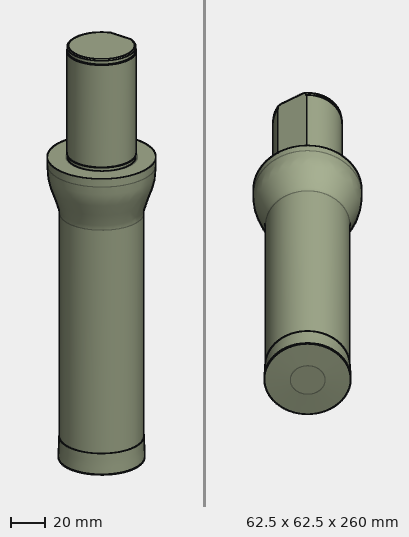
import cadquery as cq

TOTAL_LENGTH = 260.0
SHANK_LENGTH = 70.0

HEAD_DIAMETER = 50.0
HEAD_TOP_Z = 14.0
HEAD_TOP_DIAMETER = 48.9
POINT_HEIGHT = 0.6
EDGE_CHAMFER_HEIGHT = 0.6
EDGE_CHAMFER_WIDTH = 0.3
POINT_FLAT_DIAMETER = 20.0

BODY_DIAMETER = 48.6
COLLAR_DIAMETER = 62.5
COLLAR_RIM_HEIGHT = 5.0
COLLAR_HEIGHT = 35.3
COLLAR_UPPER_DIAMETER = 57.2
COLLAR_UPPER_DEPTH = 20.5
COLLAR_LOWER_DIAMETER = 50.8
COLLAR_LOWER_DEPTH = 29.8
SHANK_DIAMETER = 39.99
RELIEF_DIAMETER = 39.5
RELIEF_CHAMFER_LENGTH = 0.5
NECK_LENGTH = 1.8
TIP_RELIEF_LENGTH = 3.0
TIP_CHAMFER = 0.8

RECESS_DIAMETER = 41.2
RECESS_DEPTH = 0.2

FLAT_DISTANCE = 17.5
FLAT_RUNOUT_HEIGHT = 3.7

head_radius = HEAD_DIAMETER / 2
head_top_radius = HEAD_TOP_DIAMETER / 2
point_flat_radius = POINT_FLAT_DIAMETER / 2
body_radius = BODY_DIAMETER / 2
collar_radius = COLLAR_DIAMETER / 2
shank_radius = SHANK_DIAMETER / 2
relief_radius = RELIEF_DIAMETER / 2
recess_radius = RECESS_DIAMETER / 2

collar_top_z = TOTAL_LENGTH - SHANK_LENGTH
rim_bottom_z = collar_top_z - COLLAR_RIM_HEIGHT
collar_bottom_z = collar_top_z - COLLAR_HEIGHT
neck_top_z = collar_top_z + NECK_LENGTH
tip_relief_z = TOTAL_LENGTH - TIP_RELIEF_LENGTH


def make_cutting_head():
    """Round head, slightly tapered towards the body, with a very flat blunted point."""
    return (
        cq.Workplane("XZ")
        .lineTo(point_flat_radius, 0)
        .lineTo(head_radius - EDGE_CHAMFER_WIDTH, POINT_HEIGHT)
        .lineTo(head_radius, POINT_HEIGHT + EDGE_CHAMFER_HEIGHT)
        .lineTo(head_top_radius, HEAD_TOP_Z)
        .lineTo(0, HEAD_TOP_Z)
        .close()
        .revolve(360, (0, 0, 0), (0, 1, 0))
    )


def make_turned_holder():
    """Body, collar and shank as one turned profile."""
    up = (0, 1)
    collar_curve = [
        (COLLAR_LOWER_DIAMETER / 2, collar_top_z - COLLAR_LOWER_DEPTH),
        (COLLAR_UPPER_DIAMETER / 2, collar_top_z - COLLAR_UPPER_DEPTH),
        (collar_radius, rim_bottom_z),
    ]
    return (
        cq.Workplane("XZ")
        .moveTo(0, HEAD_TOP_Z)
        .lineTo(body_radius, HEAD_TOP_Z)
        .lineTo(body_radius, collar_bottom_z)
        .spline(collar_curve, tangents=[up, up], includeCurrent=True)
        .lineTo(collar_radius, collar_top_z)
        .lineTo(recess_radius, collar_top_z)
        .lineTo(relief_radius, collar_top_z - RECESS_DEPTH)
        .lineTo(relief_radius, neck_top_z)
        .lineTo(shank_radius, neck_top_z + RELIEF_CHAMFER_LENGTH)
        .lineTo(shank_radius, tip_relief_z - RELIEF_CHAMFER_LENGTH)
        .lineTo(relief_radius, tip_relief_z)
        .lineTo(relief_radius, TOTAL_LENGTH - TIP_CHAMFER)
        .lineTo(relief_radius - TIP_CHAMFER, TOTAL_LENGTH)
        .lineTo(0, TOTAL_LENGTH)
        .close()
        .revolve(360, (0, 0, 0), (0, 1, 0))
    )


def make_flat_cutter():
    """Material removed to leave the driving flat and its 45 degree run-out."""
    runout_z = collar_top_z + FLAT_RUNOUT_HEIGHT
    flat_depth = shank_radius - FLAT_DISTANCE
    return (
        cq.Workplane("YZ")
        .moveTo(shank_radius, runout_z)
        .lineTo(shank_radius, TOTAL_LENGTH)
        .lineTo(FLAT_DISTANCE, TOTAL_LENGTH)
        .lineTo(FLAT_DISTANCE, runout_z + flat_depth)
        .close()
        .extrude(shank_radius, both=True)
    )


cutting_head = make_cutting_head()
holder = make_turned_holder().cut(make_flat_cutter())

result = cq.Compound.makeCompound([cutting_head.val(), holder.val()])